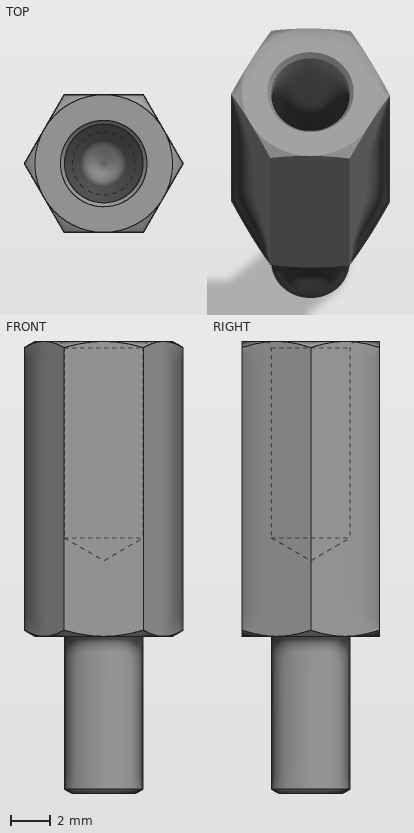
import cadquery as cq
import math

across_flats = 7.0
body_length = 15.0
across_corners = across_flats / math.cos(math.pi / 6)
corner_chamfer_angle = 30.0

stud_diameter = 4.0
stud_length = 8.0
stud_chamfer_width = 0.4
stud_chamfer_angle = 30.0

hole_diameter = 4.0
hole_depth = 10.0
drill_point_angle = 120.0
countersink_diameter = 4.4
countersink_angle = 60.0


def revolve_profile(points):
    """Turn a closed (radius, height) outline around the Z axis."""
    return cq.Workplane("XZ").polyline(points).close().revolve(360, (0, 0, 0), (0, 1, 0))


def make_body():
    """Hexagonal prism with conically chamfered corners, standing on Z = 0."""
    hexagon = cq.Workplane("XY").polygon(6, across_corners).extrude(body_length)
    face_radius = across_flats / 2
    corner_radius = across_corners / 2
    corner_drop = (corner_radius - face_radius) * math.tan(math.radians(corner_chamfer_angle))
    envelope = revolve_profile([
        (0, 0),
        (face_radius, 0),
        (corner_radius, corner_drop),
        (corner_radius, body_length - corner_drop),
        (face_radius, body_length),
        (0, body_length),
    ])
    return hexagon.intersect(envelope)


def make_stud():
    """Round stud with a chamfered tip, hanging below Z = 0."""
    radius = stud_diameter / 2
    chamfer_height = stud_chamfer_width * math.tan(math.radians(stud_chamfer_angle))
    return revolve_profile([
        (0, 0),
        (radius, 0),
        (radius, chamfer_height - stud_length),
        (radius - stud_chamfer_width, -stud_length),
        (0, -stud_length),
    ])


def make_hole():
    """Countersunk blind hole ending in a drill point."""
    radius = hole_diameter / 2
    countersink_radius = countersink_diameter / 2
    countersink_depth = (countersink_radius - radius) / math.tan(math.radians(countersink_angle / 2))
    hole_bottom = body_length - hole_depth
    point_depth = radius / math.tan(math.radians(drill_point_angle / 2))
    return revolve_profile([
        (0, body_length),
        (countersink_radius, body_length),
        (radius, body_length - countersink_depth),
        (radius, hole_bottom),
        (0, hole_bottom - point_depth),
    ])


result = make_body().union(make_stud()).cut(make_hole())